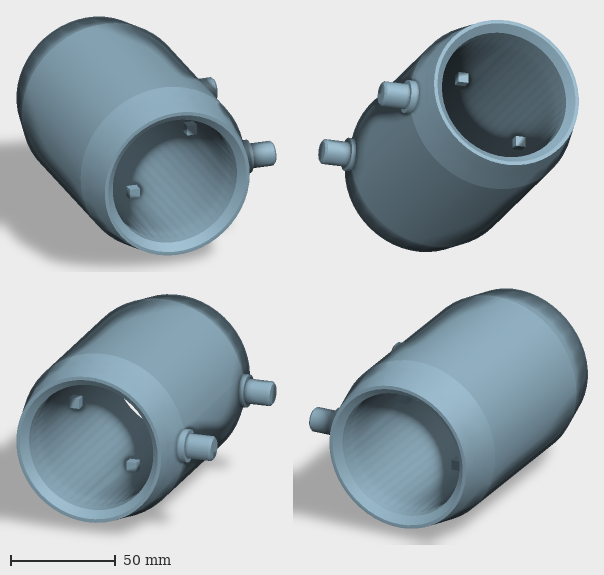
import cadquery as cq

length = 127.0
outer_radius = 41.5
end_radius = 36.75
taper_length = 21.25
bore_radius = 31.5
mouth_radius = 35.0
mouth_depth = 3.5

stop_count = 4
stop_width = 5.0
stop_length = 5.0
stop_tip_radius = 26.5

terminal_tip_y = 56.0
pin_radius = 6.0
pin_chamfer = 1.0
collar_radius = 8.0
collar_top_y = 43.5

half_length = length / 2
terminal_x = half_length - taper_length
wall_middle_radius = (bore_radius + outer_radius) / 2


def make_sleeve():
    """Tube with tapered ends and a conical lead-in at each mouth."""
    mouth_x = half_length - mouth_depth
    profile = [
        (-half_length, mouth_radius),
        (-half_length, end_radius),
        (-terminal_x, outer_radius),
        (terminal_x, outer_radius),
        (half_length, end_radius),
        (half_length, mouth_radius),
        (mouth_x, bore_radius),
        (-mouth_x, bore_radius),
    ]
    section = cq.Workplane("XY").polyline(profile).close()
    return section.revolve(360, (0, 0, 0), (1, 0, 0))


def make_stop(angle):
    """Block reaching from within the wall into the bore, turned about the X axis."""
    height = wall_middle_radius - stop_tip_radius
    middle = (wall_middle_radius + stop_tip_radius) / 2
    block = cq.Workplane("XY").box(stop_length, stop_width, height)
    return block.translate((0, 0, middle)).rotate((0, 0, 0), (1, 0, 0), angle)


def cylinder_along_y(radius, x, tip_y):
    """Cylinder rooted within the sleeve wall and ending at tip_y."""
    base = cq.Workplane("XZ", origin=(x, wall_middle_radius, 0))
    return base.circle(radius).extrude(wall_middle_radius - tip_y)


def make_terminal(x):
    """Chamfered pin standing on a round collar."""
    pin = cylinder_along_y(pin_radius, x, terminal_tip_y).faces(">Y").chamfer(pin_chamfer)
    collar = cylinder_along_y(collar_radius, x, collar_top_y)
    return pin.union(collar)


result = make_sleeve()
for index in range(stop_count):
    result = result.union(make_stop(index * 360 / stop_count))
for x in (-terminal_x, terminal_x):
    result = result.union(make_terminal(x))